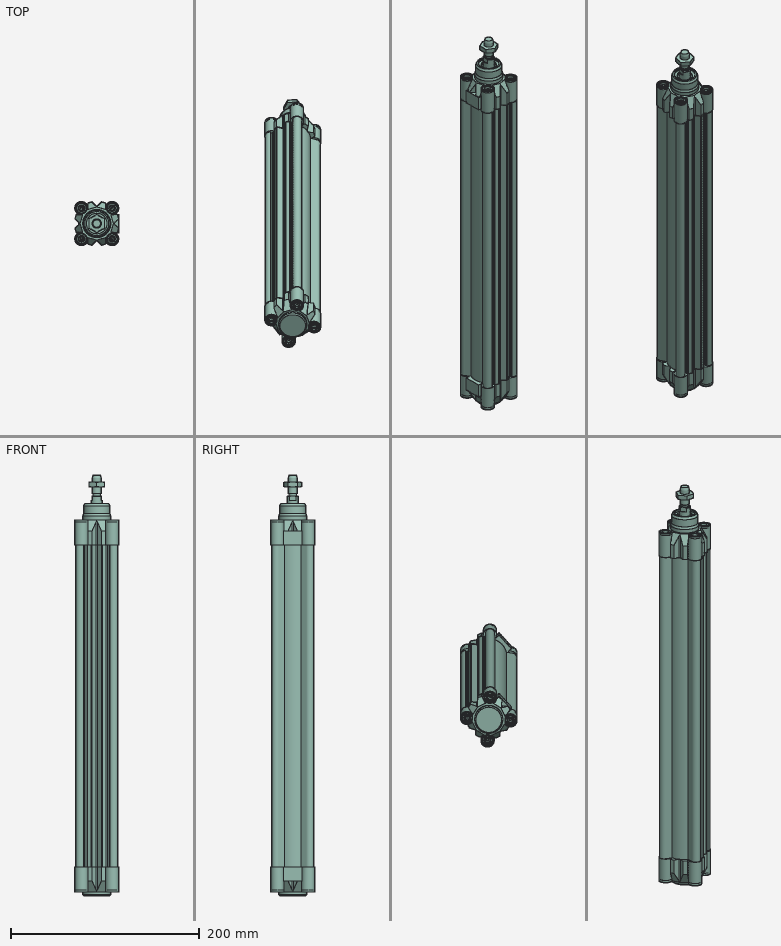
import cadquery as cq
import math

LENGTH = 446.0
CAP_SIDE = 47.0
CAP_HEIGHT = 26.8
REAR_SPIGOT_HEIGHT = 4.0
HEAD_CAP_TOP = 398.7
HEAD_CAP_BOTTOM = HEAD_CAP_TOP - CAP_HEIGHT
REAR_CAP_TOP = REAR_SPIGOT_HEIGHT + CAP_HEIGHT

LOBE_RADIUS = 7.0
LOBE_OFFSET = CAP_SIDE / 2 - LOBE_RADIUS
CAP_RIDGE = (5.0, 23.0)
CAP_FACET_WIDTH = 4.5
CAP_FACET_TILT = 16.0
CAP_GROOVE = (0.65, 18.7)
SLOPE_HEIGHT = 11.5
SLOPE_RUN = 6.5
PAD_HALF_WIDTH = 10.0

SCREW_RING_OUTER_DIAMETER = 12.0
SCREW_RING_INNER_DIAMETER = 10.3
SCREW_RING_DEPTH = 2.2
SOCKET_DIAMETER = 7.0
SOCKET_DEPTH = 2.5
SOCKET_CONE_DIAMETER = 5.0
SOCKET_CONE_TIP_DIAMETER = 2.1
SOCKET_CONE_DEPTH = 1.5

SPIGOT_DIAMETER = 30.0
REAR_SPIGOT_CHAMFER = 1.5
HEAD_SPIGOT_HEIGHT = 4.0
HEAD_SPIGOT_CHAMFER_HEIGHT = 2.5
GLAND_DIAMETER = 28.0
GLAND_TOP = 416.0
GLAND_CHAMFER_HEIGHT = 2.5
GLAND_CHAMFER_WIDTH = 1.5
GLAND_RECESS_DIAMETER = 22.0
GLAND_RECESS_DEPTH = 2.0
SEAL_POCKET_DIAMETER = 16.0
SEAL_POCKET_DEPTH = 3.5

BARREL_SIDE = 45.0
BARREL_LOBE_RADIUS = 5.0
BARREL_LOBE_OFFSET = BARREL_SIDE / 2 - BARREL_LOBE_RADIUS
BARREL_ARC_RADIUS = 19.0
BARREL_ARC_HALF_WIDTH = 9.0
BARREL_GROOVE = (0.65, 17.5)
BARREL_RIDGE_INNER = (5.0, 22.5)
BARREL_RIDGE_OUTER_X = 6.2
BARREL_FACET_EDGE = (10.0, 21.0)
SLOT_OUTER_X = 14.3
SLOT_DEPTH_Y = 19.5
INNER_SLOT_X = (11.0, 13.0)
INNER_SLOT_Y = 18.5

ROD_DIAMETER = 12.0
ROD_TOP = 424.0
ROD_CHAMFER_HEIGHT = 1.0
ROD_CHAMFER_WIDTH = 1.0
FLAT_WIDTH = 10.0
FLAT_HEIGHT = 5.0
UNDERCUT_DIAMETER = 8.0
UNDERCUT_HEIGHT = 2.2
THREAD_DIAMETER = 10.0
THREAD_CHAMFER_HEIGHT = 3.0
THREAD_CHAMFER_WIDTH = 1.0

NUT_ACROSS_FLATS = 17.0
NUT_FACE_DIAMETER = 16.0
NUT_BOTTOM = 433.5
NUT_HEIGHT = 5.5
NUT_CHAMFER_ANGLE = 15.0


def cylinder(diameter, bottom, top):
    return cq.Workplane("XY").workplane(offset=bottom).circle(diameter / 2).extrude(top - bottom)


def turned(profile):
    """Solid of revolution about Z from (radius, z) points; the axis side is closed."""
    bottom, top = profile[0][1], profile[-1][1]
    return cq.Workplane("XZ").polyline([(0, bottom), *profile, (0, top)]).close().revolve(360, (0, 0), (0, 1))


def mirrored_side(half):
    """Complete one side outline from the points of its left half."""
    return half + [(-x, y) for x, y in reversed(half)]


def quarter_turn(point, turns):
    x, y = point
    for _ in range(turns):
        x, y = -y, x
    return x, y


def grooved_cap_core():
    """Cap block without its lobes, from z = 0 (barrel end) to CAP_HEIGHT (outer end)."""
    ridge_x, ridge_y = CAP_RIDGE
    tilt = math.radians(CAP_FACET_TILT)
    facet_x = ridge_x + CAP_FACET_WIDTH
    facet_y = ridge_y - CAP_FACET_WIDTH * math.tan(tilt)
    side = mirrored_side([
        (-facet_x, -LOBE_OFFSET),
        (-facet_x, -facet_y),
        (-ridge_x, -ridge_y),
        (-CAP_GROOVE[0], -CAP_GROOVE[1]),
    ])
    outline = [quarter_turn(point, turns) for turns in range(4) for point in side]
    core = cq.Workplane("XY").polyline(outline).close().extrude(CAP_HEIGHT)

    facet_distance = ridge_x * math.sin(tilt) + ridge_y * math.cos(tilt)
    slope = (
        cq.Workplane("YZ")
        .polyline([
            (-facet_distance + SLOPE_RUN, CAP_HEIGHT),
            (-CAP_SIDE, CAP_HEIGHT),
            (-CAP_SIDE, CAP_HEIGHT - SLOPE_HEIGHT),
            (-facet_distance, CAP_HEIGHT - SLOPE_HEIGHT),
        ])
        .close()
        .extrude(CAP_SIDE / 2, both=True)
    )
    for turns in range(4):
        for side_tilt in (-CAP_FACET_TILT, CAP_FACET_TILT):
            core = core.cut(slope.rotate((0, 0, 0), (0, 0, 1), 90 * turns + side_tilt))
    return core


def plain_side_pad():
    """Flat pad that closes the groove on the +X side, up to the foot of the slope."""
    depth = CAP_SIDE / 2 - LOBE_OFFSET
    return (
        cq.Workplane("XY")
        .box(depth, 2 * PAD_HALF_WIDTH, CAP_HEIGHT - SLOPE_HEIGHT, centered=(False, True, False))
        .translate((LOBE_OFFSET, 0, 0))
    )


def screw_cutters():
    """Ring groove around a screw head and the socket in the head, both open at z = CAP_HEIGHT."""
    ring = cylinder(SCREW_RING_OUTER_DIAMETER, CAP_HEIGHT - SCREW_RING_DEPTH, CAP_HEIGHT)
    ring = ring.cut(cylinder(SCREW_RING_INNER_DIAMETER, CAP_HEIGHT - SCREW_RING_DEPTH, CAP_HEIGHT))
    socket_floor = CAP_HEIGHT - SOCKET_DEPTH
    socket = turned([
        (SOCKET_CONE_TIP_DIAMETER / 2, socket_floor - SOCKET_CONE_DEPTH),
        (SOCKET_CONE_DIAMETER / 2, socket_floor),
        (SOCKET_DIAMETER / 2, socket_floor),
        (SOCKET_DIAMETER / 2, CAP_HEIGHT),
    ])
    return ring, socket


def make_cap_block():
    block = grooved_cap_core().union(plain_side_pad())
    lobe_centres = [quarter_turn((LOBE_OFFSET, LOBE_OFFSET), turns) for turns in range(4)]
    block = block.union(cq.Workplane("XY").pushPoints(lobe_centres).circle(LOBE_RADIUS).extrude(CAP_HEIGHT))
    for x, y in lobe_centres:
        for cutter in screw_cutters():
            block = block.cut(cutter.translate((x, y, 0)))
    return block


def make_head_cap():
    spigot_top = HEAD_CAP_TOP + HEAD_SPIGOT_HEIGHT
    radius = GLAND_DIAMETER / 2
    collar = turned([
        (SPIGOT_DIAMETER / 2, HEAD_CAP_TOP),
        (SPIGOT_DIAMETER / 2, spigot_top),
        (radius, spigot_top + HEAD_SPIGOT_CHAMFER_HEIGHT),
        (radius, GLAND_TOP - GLAND_CHAMFER_HEIGHT),
        (radius - GLAND_CHAMFER_WIDTH, GLAND_TOP),
    ])
    recess = cylinder(GLAND_RECESS_DIAMETER, GLAND_TOP - GLAND_RECESS_DEPTH, GLAND_TOP)
    seal_pocket = cylinder(SEAL_POCKET_DIAMETER, GLAND_TOP - SEAL_POCKET_DEPTH, GLAND_TOP)
    rod_hole = cylinder(ROD_DIAMETER, HEAD_CAP_BOTTOM, GLAND_TOP)
    head_cap = make_cap_block().translate((0, 0, HEAD_CAP_BOTTOM)).union(collar)
    return head_cap.cut(recess).cut(seal_pocket).cut(rod_hole)


def make_rear_cap():
    block = make_cap_block().rotate((0, 0, 0), (1, 0, 0), 180).translate((0, 0, REAR_CAP_TOP))
    spigot = cylinder(SPIGOT_DIAMETER, 0, REAR_SPIGOT_HEIGHT).faces("<Z").chamfer(REAR_SPIGOT_CHAMFER)
    return block.union(spigot)


def make_barrel():
    """Extrusion with slotted -Y and +Y sides and bulged -X and +X sides."""
    inner_slot_min, inner_slot_max = INNER_SLOT_X
    facet_x, facet_y = BARREL_FACET_EDGE
    slotted_side = mirrored_side([
        (-SLOT_OUTER_X, -SLOT_DEPTH_Y),
        (-inner_slot_max, -SLOT_DEPTH_Y),
        (-inner_slot_max, -INNER_SLOT_Y),
        (-inner_slot_min, -INNER_SLOT_Y),
        (-inner_slot_min, -SLOT_DEPTH_Y),
        (-facet_x, -SLOT_DEPTH_Y),
        (-facet_x, -facet_y),
        (-BARREL_RIDGE_OUTER_X, -BARREL_RIDGE_INNER[1]),
        (-BARREL_RIDGE_INNER[0], -BARREL_RIDGE_INNER[1]),
        (-BARREL_GROOVE[0], -BARREL_GROOVE[1]),
    ])
    arc_end_x = math.sqrt(BARREL_ARC_RADIUS**2 - BARREL_ARC_HALF_WIDTH**2)
    diagonal = BARREL_LOBE_RADIUS * math.sqrt(0.5)
    near, far = BARREL_LOBE_OFFSET - diagonal, BARREL_LOBE_OFFSET + diagonal
    slot_corner_y = BARREL_LOBE_OFFSET + math.sqrt(
        BARREL_LOBE_RADIUS**2 - (BARREL_LOBE_OFFSET - SLOT_OUTER_X) ** 2
    )

    outline = cq.Workplane("XY").workplane(offset=REAR_CAP_TOP).moveTo(-arc_end_x, BARREL_ARC_HALF_WIDTH)
    for turns in (0, 2):
        bulge_top = quarter_turn((-BARREL_ARC_RADIUS, 0), turns)
        bulge_end = quarter_turn((-arc_end_x, -BARREL_ARC_HALF_WIDTH), turns)
        outline = outline.threePointArc(bulge_top, bulge_end)

        lobe_start = quarter_turn((-far, -near), turns)
        lobe_middle = quarter_turn((-far, -far), turns)
        lobe_end = quarter_turn((-SLOT_OUTER_X, -slot_corner_y), turns)
        outline = outline.lineTo(*lobe_start).threePointArc(lobe_middle, lobe_end)

        for point in slotted_side:
            outline = outline.lineTo(*quarter_turn(point, turns))

        lobe_start = quarter_turn((SLOT_OUTER_X, -slot_corner_y), turns)
        lobe_middle = quarter_turn((far, -far), turns)
        lobe_end = quarter_turn((far, -near), turns)
        outline = outline.lineTo(*lobe_start).threePointArc(lobe_middle, lobe_end)

        bulge_start = quarter_turn((arc_end_x, -BARREL_ARC_HALF_WIDTH), turns)
        outline = outline.lineTo(*bulge_start)
    return outline.close().extrude(HEAD_CAP_BOTTOM - REAR_CAP_TOP)


def make_rod():
    """Piston rod with two wrench flats, a thread undercut and a chamfered thread end."""
    thread_bottom = ROD_TOP + UNDERCUT_HEIGHT
    thread_radius = THREAD_DIAMETER / 2
    rod = turned([
        (ROD_DIAMETER / 2, HEAD_CAP_BOTTOM),
        (ROD_DIAMETER / 2, ROD_TOP - ROD_CHAMFER_HEIGHT),
        (ROD_DIAMETER / 2 - ROD_CHAMFER_WIDTH, ROD_TOP),
        (UNDERCUT_DIAMETER / 2, ROD_TOP),
        (UNDERCUT_DIAMETER / 2, thread_bottom),
        (thread_radius, thread_bottom),
        (thread_radius, LENGTH - THREAD_CHAMFER_HEIGHT),
        (thread_radius - THREAD_CHAMFER_WIDTH, LENGTH),
    ])
    for side in (-1, 1):
        flat = cq.Workplane("XY").box(ROD_DIAMETER, ROD_DIAMETER, FLAT_HEIGHT)
        centre_x = side * (FLAT_WIDTH + ROD_DIAMETER) / 2
        rod = rod.cut(flat.translate((centre_x, 0, ROD_TOP - FLAT_HEIGHT / 2)))
    return rod


def make_nut():
    """Hexagon nut with flats on -X and +X and its corners chamfered at both ends."""
    corner_radius = NUT_ACROSS_FLATS / 2 / math.cos(math.pi / 6)
    hexagon = (
        cq.Workplane("XY").workplane(offset=NUT_BOTTOM).polygon(6, 2 * corner_radius).extrude(NUT_HEIGHT)
        .rotate((0, 0, 0), (0, 0, 1), 30)
    )
    face_radius = NUT_FACE_DIAMETER / 2
    nut_top = NUT_BOTTOM + NUT_HEIGHT
    drop = (corner_radius - face_radius) * math.tan(math.radians(NUT_CHAMFER_ANGLE))
    envelope = turned([
        (face_radius, NUT_BOTTOM),
        (corner_radius, NUT_BOTTOM + drop),
        (corner_radius, nut_top - drop),
        (face_radius, nut_top),
    ])
    return hexagon.intersect(envelope).cut(cylinder(THREAD_DIAMETER, NUT_BOTTOM, nut_top))


rear_cap = make_rear_cap()
barrel = make_barrel()
head_cap = make_head_cap()
rod = make_rod()
nut = make_nut()

bodies = [rear_cap, barrel, head_cap, rod, nut]
result = cq.Compound.makeCompound([body.solids().val() for body in bodies])